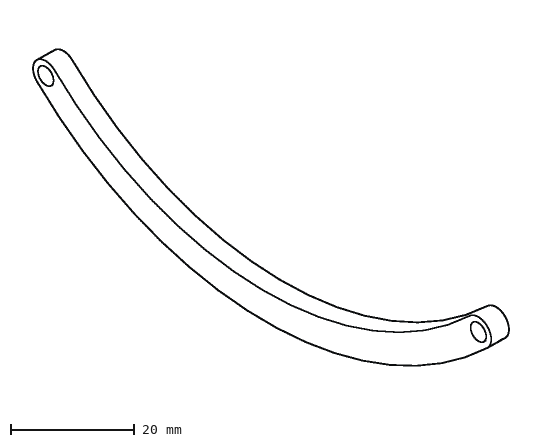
import cadquery as cq
import math

overall_length = 106.0
thickness = 4.0
end_radius = 3.0
hole_diameter = 3.6
sag = 19.9

half_span = overall_length / 2 - end_radius
arc_radius = (half_span**2 + sag**2) / (2 * sag)
arc_center_z = arc_radius - sag
half_angle = math.asin(half_span / arc_radius)
inner_radius = arc_radius - end_radius
outer_radius = arc_radius + end_radius


def arc_point(radius, angle):
    """Point at an angle from straight down, about the arc centre."""
    return (radius * math.sin(angle), arc_center_z - radius * math.cos(angle))


def end_tip(side):
    """Outermost point of a rounded end, along the centreline's tangent."""
    return (
        side * (half_span + end_radius * math.cos(half_angle)),
        end_radius * math.sin(half_angle),
    )


bar = (
    cq.Workplane("XZ")
    .moveTo(*arc_point(inner_radius, -half_angle))
    .threePointArc(arc_point(inner_radius, 0), arc_point(inner_radius, half_angle))
    .threePointArc(end_tip(1), arc_point(outer_radius, half_angle))
    .threePointArc(arc_point(outer_radius, 0), arc_point(outer_radius, -half_angle))
    .threePointArc(end_tip(-1), arc_point(inner_radius, -half_angle))
    .close()
    .extrude(thickness / 2, both=True)
)

holes = (
    cq.Workplane("XZ")
    .pushPoints([(-half_span, 0), (half_span, 0)])
    .circle(hole_diameter / 2)
    .extrude(thickness, both=True)
)

result = bar.cut(holes)